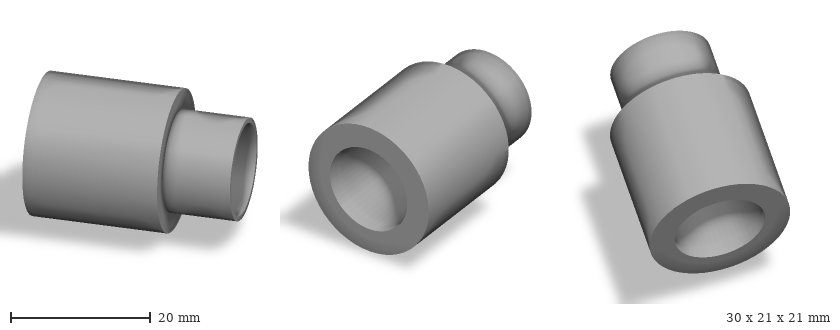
import cadquery as cq

total_length = 30.0
body_length = 20.0
body_diameter = 21.0
spigot_diameter = 15.0
bore_diameter = 13.5

spigot_length = total_length - body_length

body = cq.Workplane("YZ").circle(body_diameter / 2).extrude(body_length)

sleeve = body.faces(">X").workplane().circle(spigot_diameter / 2).extrude(spigot_length)
bore = cq.Workplane("YZ").circle(bore_diameter / 2).extrude(total_length)

result = sleeve.cut(bore)